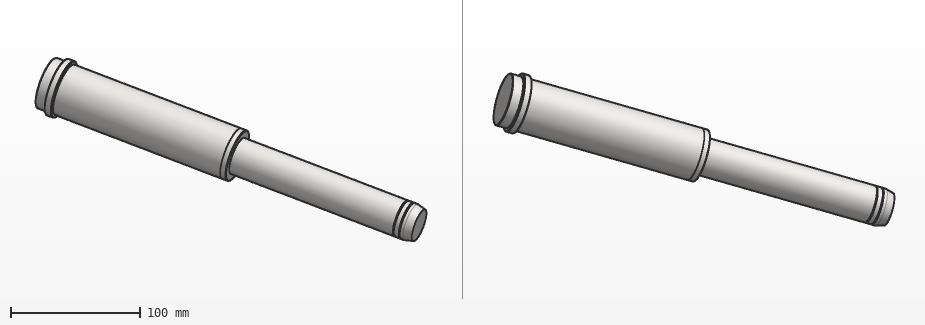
import math

import cadquery as cq

total_length = 320.0
body_diameter = 42.0
body_length = 164.0
shank_diameter = 30.0
edge_chamfer = 0.5

collar_diameter = 47.0
collar_start = 9.0
collar_width = 6.0

land_length = 5.0
land_clearance = 0.01

groove_centres = (305.0, 310.0)
groove_depth = 0.5

nose_length = 7.0
nose_half_angle = 15.0

body_radius = body_diameter / 2
land_radius = body_radius - land_clearance
shank_radius = shank_diameter / 2
collar_end = collar_start + collar_width
land_start = body_length - land_length


def chamfered_segment(start, end, radius):
    """Outline points (x, radius) of a cylinder with both end edges chamfered."""
    return [
        (start, radius - edge_chamfer),
        (start + edge_chamfer, radius),
        (end - edge_chamfer, radius),
        (end, radius - edge_chamfer),
    ]


def body_outline():
    """Head, collar, body and land; the facing chamfers leave a notch on each side of the collar."""
    head = chamfered_segment(0, collar_start, body_radius)
    collar = chamfered_segment(collar_start, collar_end, collar_diameter / 2)
    body = [
        (collar_end, body_radius - edge_chamfer),
        (collar_end + edge_chamfer, body_radius),
        (land_start, body_radius),
        (land_start, land_radius),
        (body_length - edge_chamfer, land_radius),
        (body_length, land_radius - edge_chamfer),
    ]
    return head + collar + body


def groove_outline(centre):
    """V-groove in the shank."""
    return [
        (centre - groove_depth, shank_radius),
        (centre, shank_radius - groove_depth),
        (centre + groove_depth, shank_radius),
    ]


def shank_outline():
    """Shank from the shoulder to the tip, with its grooves and conical nose."""
    points = [(body_length, shank_radius)]
    for centre in groove_centres:
        points += groove_outline(centre)
    tip_radius = shank_radius - nose_length * math.tan(math.radians(nose_half_angle))
    points.append((total_length - nose_length, shank_radius))
    points.append((total_length, tip_radius))
    return points


section = [(0, 0)] + body_outline() + shank_outline() + [(total_length, 0)]
result = cq.Workplane("XY").polyline(section).close().revolve(360, (0, 0, 0), (1, 0, 0))